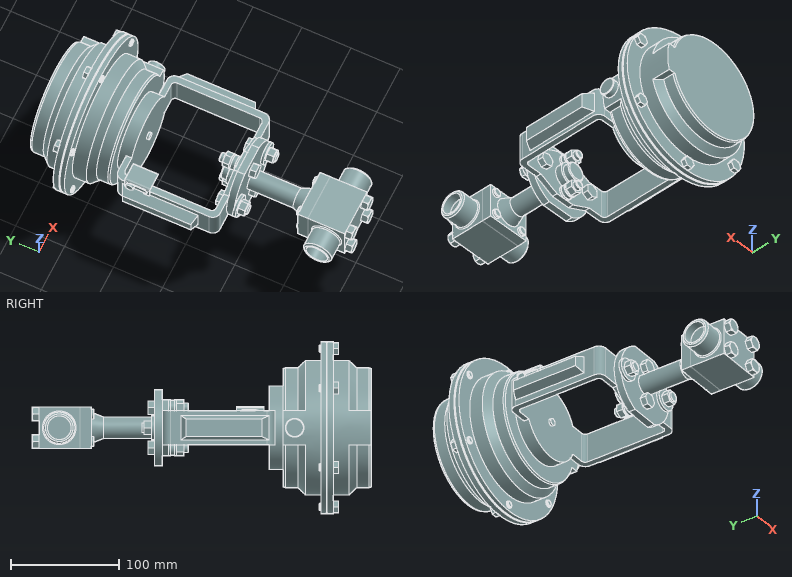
import cadquery as cq
import math


FLANGE_DIA = 158.75
TOTAL_LENGTH = 312.98

HOUSING_LENGTH = 81.4
HOUSING_RADIUS = 62.2
CAP_RADIUS = 55.4
CAP_EDGE_RADIUS = 54.6
CAP_EDGE_LENGTH = 2.0
CAP_LENGTH = 13.5
CONE_END = 20.7
FLANGE_START = 35.0
FLANGE_END = 46.5
GASKET_START = 40.8
GASKET_THICKNESS = 0.8
GASKET_RADIUS = 78.6
PORT_PAD_HALF_WIDTH = 15.9
PORT_RADIUS = 8.6
PORT_END_X = 68.7
PORT_DEPTH = 70.8
PORT_CHAMFER = 0.5

FLANGE_BOLT_COUNT = 6
FLANGE_BOLT_CIRCLE_RADIUS = 73.0
FLANGE_BOLT_FLATS = 11.1
FLANGE_BOLT_HEAD = 4.8
FLANGE_BOLT_DIA = 7.0
FLANGE_BOLT_TIP = 1.9

HUB_RADIUS = 38.6
HUB_END = 94.4
HUB_NUB_DIA = 7.0
HUB_NUB_LENGTH = 2.2

YOKE_START = 88.7
YOKE_END = 192.7
YOKE_HALF_WIDTH = 59.8
YOKE_SIDE_THICKNESS = 6.6
YOKE_PLATE_THICKNESS = HUB_END - YOKE_START
YOKE_HALF_HEIGHT = 15.7
YOKE_OUTER_BEND = 7.6
YOKE_INNER_BEND = 4.0
YOKE_FLOOR = YOKE_END - YOKE_PLATE_THICKNESS
GUSSET_HALF_HEIGHT = 26.0
GUSSET_TIP_HALF_WIDTH = 10.8
GUSSET_BASE_HALF_WIDTH = 32.8

RIB_HEIGHT = 9.9
RIB_TIP_START = 101.1
RIB_TIP_END = 171.0
LEFT_RIB_BASE = (96.5, 173.7)
LEFT_RIB_HALF_HEIGHTS = (9.0, 5.2)
RIGHT_RIB_BASE = (94.4, 175.6)
RIGHT_RIB_HALF_HEIGHTS = (11.2, 8.1)

BRACKET_START = 99.0
BRACKET_END = 124.6
BRACKET_THICKNESS = 1.0
BRACKET_TOP = 19.6
BRACKET_BOTTOM = 8.6
BRACKET_INNER_X = -41.7
BRACKET_BEND = 1.9
SLOT_RADIUS = 4.0
SLOT_HEIGHT = 12.6
SLOT_START = 104.7
SLOT_END = 118.0
SCREW_HEAD = 1.9

MOUNT_END = 200.2
MOUNT_RADIUS = 38.4
MOUNT_FLAT = 35.2

SIDE_BOLT_X = 30.2
CROSS_BOLT_Z = 18.5
BOLT_FLATS = 12.7
BOLT_HEAD = 6.4
TURNED_HEX = 15.0
CROSS_BOLT_HEAD = 6.0
BOLT_DIA = 9.0
NUT_HEIGHT = 6.8
TIP_LENGTH = 1.7
WASHER_DIA = 22.2
WASHER_THICKNESS = 2.8
CROSS_WASHER_DIA = 14.7
CROSS_WASHER_THICKNESS = 1.7
LOCK_WASHER_DIA = 14.0
LOCK_WASHER_THICKNESS = 3.9
CROSS_TIP_LENGTH = 4.4

NECK_RADIUS = 10.0
NECK_START = 172.8
NECK_CHAMFER = 1.0
LOCK_NUT_DIA = 25.6
LOCK_NUT_HEIGHT = 7.2
NECK_END = 247.0
NECK_BASE_RADIUS = 14.6

BODY_START = 258.4
COVER_END = 268.8
BODY_END = 306.5
BODY_HALF_WIDTH = 24.1
BODY_HALF_HEIGHT = 19.3
BODY_BOLT_X = 17.1
BODY_BOLT_Z = 12.7
BODY_BOLT_STUD_DIA = 9.0
BODY_BOLT_STUD_LENGTH = 2.7

PIPE_DEPTH = 287.9
PIPE_RADIUS = 14.4
PIPE_END_X = 45.0
PIPE_CHAMFER = 1.7
PIPE_BORE_RADIUS = 10.9
PIPE_BORE_DEPTH = 10.0
PIPE_ROOT_SIZE = 1.1

BOLT_END_CHAMFER = 0.8


def plane_at(depth):
    """Workplane across the main axis: local x is X, local y is Z, extrusion goes deeper (-Y)."""
    return cq.Workplane("XZ", origin=(0, -depth, 0))


def disc(depth, length, radius, x=0.0, z=0.0):
    return plane_at(depth).center(x, z).circle(radius).extrude(length)


def turned(outline):
    """Solid of revolution about the main axis from (radius, depth) points."""
    points = [(radius, -depth) for radius, depth in outline]
    return cq.Workplane("XY").polyline(points).close().revolve(360, (0, 0, 0), (0, 1, 0))


def across_corners(flats):
    return flats / math.cos(math.pi / 6)


def hexagon(depth, length, flats, x=0.0, z=0.0, turn=0.0):
    """Hexagonal prism with corners along X, or along Z when turned by 90 degrees."""
    corners = across_corners(flats)
    prism = plane_at(depth).polygon(6, corners).extrude(length)
    return prism.rotate((0, 0, 0), (0, 1, 0), turn).translate((x, 0, z))


def stud_tip(depth, length, diameter, x=0.0, z=0.0):
    """Bolt end with a chamfered edge, pointing toward the valve body."""
    tip = disc(depth, length, diameter / 2, x, z)
    return tip.faces("<Y").chamfer(BOLT_END_CHAMFER)


def block(half_width, half_height, start, end):
    return plane_at(start).rect(2 * half_width, 2 * half_height).extrude(end - start)


def housing():
    end = HOUSING_LENGTH
    flange_radius = FLANGE_DIA / 2
    gasket_end = GASKET_START + GASKET_THICKNESS
    outline = [
        (0, 0),
        (CAP_EDGE_RADIUS, 0),
        (CAP_RADIUS, CAP_EDGE_LENGTH),
        (CAP_RADIUS, CAP_LENGTH),
        (HOUSING_RADIUS, CONE_END),
        (HOUSING_RADIUS, FLANGE_START),
        (flange_radius, FLANGE_START),
        (flange_radius, GASKET_START),
        (GASKET_RADIUS, GASKET_START),
        (GASKET_RADIUS, gasket_end),
        (flange_radius, gasket_end),
        (flange_radius, FLANGE_END),
        (HOUSING_RADIUS, FLANGE_END),
        (HOUSING_RADIUS, end - CONE_END),
        (CAP_RADIUS, end - CAP_LENGTH),
        (CAP_RADIUS, end - CAP_EDGE_LENGTH),
        (CAP_EDGE_RADIUS, end),
        (0, end),
    ]
    return turned(outline)


def port_pads():
    """Full-radius pads on the +X side of both caps, and the air fitting on the front one."""
    pads = cq.Workplane("XZ")
    for depth in (0, HOUSING_LENGTH - CONE_END):
        strip = (
            plane_at(depth)
            .center(HOUSING_RADIUS / 2, 0)
            .rect(HOUSING_RADIUS, 2 * PORT_PAD_HALF_WIDTH)
            .extrude(CONE_END)
        )
        pads = pads.union(strip.intersect(disc(depth, CONE_END, HOUSING_RADIUS)))
    fitting = (
        cq.Workplane("YZ")
        .center(-PORT_DEPTH, 0)
        .circle(PORT_RADIUS)
        .extrude(PORT_END_X)
        .faces(">X")
        .chamfer(PORT_CHAMFER)
    )
    return pads.union(fitting)


def flange_bolts():
    bolts = cq.Workplane("XZ")
    for index in range(FLANGE_BOLT_COUNT):
        angle = math.radians(90 + index * 360 / FLANGE_BOLT_COUNT)
        x = FLANGE_BOLT_CIRCLE_RADIUS * math.cos(angle)
        z = FLANGE_BOLT_CIRCLE_RADIUS * math.sin(angle)
        head_start = FLANGE_START - FLANGE_BOLT_HEAD
        bolts = bolts.union(hexagon(head_start, FLANGE_BOLT_HEAD, FLANGE_BOLT_FLATS, x, z))
        bolts = bolts.union(stud_tip(FLANGE_END, FLANGE_BOLT_TIP, FLANGE_BOLT_DIA, x, z))
    return bolts


def hub():
    body = disc(HOUSING_LENGTH, HUB_END - HOUSING_LENGTH, HUB_RADIUS)
    return body.union(disc(HUB_END, HUB_NUB_LENGTH, HUB_NUB_DIA / 2))


def rounded_frame_block(half_width, start, end, bend):
    length = end - start
    return (
        cq.Workplane("XY", origin=(0, -(start + end) / 2, 0))
        .rect(2 * half_width, length)
        .extrude(YOKE_HALF_HEIGHT, both=True)
        .edges("|Z")
        .fillet(bend)
    )


def yoke():
    inner_half_width = YOKE_HALF_WIDTH - YOKE_SIDE_THICKNESS
    outer = rounded_frame_block(YOKE_HALF_WIDTH, YOKE_START, YOKE_END, YOKE_OUTER_BEND)
    window = rounded_frame_block(inner_half_width, HUB_END, YOKE_FLOOR, YOKE_INNER_BEND)
    gusset_points = [
        (GUSSET_BASE_HALF_WIDTH, YOKE_HALF_HEIGHT),
        (GUSSET_TIP_HALF_WIDTH, GUSSET_HALF_HEIGHT),
        (-GUSSET_TIP_HALF_WIDTH, GUSSET_HALF_HEIGHT),
        (-GUSSET_BASE_HALF_WIDTH, YOKE_HALF_HEIGHT),
        (-GUSSET_BASE_HALF_WIDTH, -YOKE_HALF_HEIGHT),
        (-GUSSET_TIP_HALF_WIDTH, -GUSSET_HALF_HEIGHT),
        (GUSSET_TIP_HALF_WIDTH, -GUSSET_HALF_HEIGHT),
        (GUSSET_BASE_HALF_WIDTH, -YOKE_HALF_HEIGHT),
    ]
    gusset = plane_at(YOKE_FLOOR).polyline(gusset_points).close().extrude(YOKE_PLATE_THICKNESS)
    return outer.cut(window).union(gusset)


def rib(side, base, half_heights):
    """Tapered rib on the yoke leg at side = +1 (+X) or -1 (-X)."""
    base_start, base_end = base
    base_half_height, tip_half_height = half_heights
    base_center = -(base_start + base_end) / 2
    tip_center = -(RIB_TIP_START + RIB_TIP_END) / 2
    return (
        cq.Workplane("YZ", origin=(side * YOKE_HALF_WIDTH, 0, 0))
        .center(base_center, 0)
        .rect(base_end - base_start, 2 * base_half_height)
        .workplane(offset=side * RIB_HEIGHT)
        .center(tip_center - base_center, 0)
        .rect(RIB_TIP_END - RIB_TIP_START, 2 * tip_half_height)
        .loft(combine=True)
    )


def indicator():
    outer_x = -YOKE_HALF_WIDTH - BRACKET_THICKNESS
    length = BRACKET_END - BRACKET_START
    profile = [
        (outer_x, BRACKET_BOTTOM),
        (outer_x, BRACKET_TOP),
        (BRACKET_INNER_X, BRACKET_TOP),
        (BRACKET_INNER_X, BRACKET_TOP - BRACKET_THICKNESS),
        (-YOKE_HALF_WIDTH, BRACKET_TOP - BRACKET_THICKNESS),
        (-YOKE_HALF_WIDTH, BRACKET_BOTTOM),
    ]
    sheet = plane_at(BRACKET_START).polyline(profile).close().extrude(length)
    sheet = sheet.edges("<X and >Z").fillet(BRACKET_BEND)
    middle_y = -(BRACKET_START + BRACKET_END) / 2
    inner_corner = (-YOKE_HALF_WIDTH, middle_y, BRACKET_TOP - BRACKET_THICKNESS)
    sheet = sheet.edges(cq.selectors.NearestToPointSelector(inner_corner))
    sheet = sheet.fillet(BRACKET_BEND - BRACKET_THICKNESS)
    slot_plane = cq.Workplane("YZ", origin=(-YOKE_HALF_WIDTH, 0, 0))
    slot = (
        slot_plane.center(-(SLOT_START + SLOT_END) / 2, SLOT_HEIGHT)
        .slot2D(SLOT_END - SLOT_START + 2 * SLOT_RADIUS, 2 * SLOT_RADIUS)
        .extrude(-BRACKET_THICKNESS)
    )
    screw = (
        slot_plane.center(-SLOT_START, SLOT_HEIGHT)
        .circle(SLOT_RADIUS)
        .extrude(-BRACKET_THICKNESS - SCREW_HEAD)
    )
    return sheet.cut(slot).union(screw)


def mount():
    thickness = MOUNT_END - YOKE_END
    flats = block(MOUNT_RADIUS, MOUNT_FLAT, YOKE_END, MOUNT_END)
    return disc(YOKE_END, thickness, MOUNT_RADIUS).intersect(flats)


def side_bolt(x, head_turn, nut_turn):
    """Bolt through one ear of the mount, with its nut and washer on the valve side."""
    nut_start = MOUNT_END + WASHER_THICKNESS
    head = hexagon(YOKE_FLOOR - BOLT_HEAD, BOLT_HEAD, BOLT_FLATS, x, turn=head_turn)
    washer = disc(MOUNT_END, WASHER_THICKNESS, WASHER_DIA / 2, x)
    nut = hexagon(nut_start, NUT_HEIGHT, BOLT_FLATS, x, turn=nut_turn)
    tip = disc(nut_start + NUT_HEIGHT, TIP_LENGTH, BOLT_DIA / 2, x)
    return head.union(washer).union(nut).union(tip)


def cross_bolt(z):
    """Bolt above or below the neck, with its nut and a stack of three washers inside the yoke."""
    outer_washer_start = YOKE_FLOOR - CROSS_WASHER_THICKNESS
    lock_washer_start = outer_washer_start - LOCK_WASHER_THICKNESS
    inner_washer_start = lock_washer_start - CROSS_WASHER_THICKNESS
    nut_start = inner_washer_start - NUT_HEIGHT
    tip = disc(nut_start - CROSS_TIP_LENGTH, CROSS_TIP_LENGTH, BOLT_DIA / 2, z=z)
    bolt = tip.faces(">Y").chamfer(BOLT_END_CHAMFER)
    bolt = bolt.union(hexagon(nut_start, NUT_HEIGHT, BOLT_FLATS, z=z, turn=90))
    for start in (inner_washer_start, outer_washer_start):
        bolt = bolt.union(disc(start, CROSS_WASHER_THICKNESS, CROSS_WASHER_DIA / 2, z=z))
    bolt = bolt.union(disc(lock_washer_start, LOCK_WASHER_THICKNESS, LOCK_WASHER_DIA / 2, z=z))
    return bolt.union(hexagon(MOUNT_END, CROSS_BOLT_HEAD, BOLT_FLATS, z=z))


def lock_nut():
    return disc(YOKE_FLOOR - LOCK_NUT_HEIGHT, LOCK_NUT_HEIGHT, LOCK_NUT_DIA / 2)


def neck():
    outline = [
        (0, NECK_START),
        (NECK_RADIUS - NECK_CHAMFER, NECK_START),
        (NECK_RADIUS, NECK_START + NECK_CHAMFER),
        (NECK_RADIUS, NECK_END),
        (NECK_BASE_RADIUS, BODY_START),
        (0, BODY_START),
    ]
    return turned(outline)


def body_bolt_head(x, z):
    """Hexagon head whose corners are rounded off by a cone, leaving a circular end face."""
    height = TOTAL_LENGTH - BODY_END
    corner_radius = across_corners(BOLT_FLATS) / 2
    corner_drop = corner_radius - BOLT_FLATS / 2
    blank = disc(BODY_END, height, corner_radius, x, z).faces("<Y").chamfer(corner_drop)
    return hexagon(BODY_END, height, BOLT_FLATS, x, z).intersect(blank)


def valve_body():
    cover = block(BODY_HALF_WIDTH, BODY_HALF_HEIGHT, BODY_START, COVER_END)
    body = cover.union(block(BODY_HALF_WIDTH, BODY_HALF_HEIGHT, COVER_END, BODY_END), clean=False)
    stud_start = BODY_START - BODY_BOLT_STUD_LENGTH
    for x in (-BODY_BOLT_X, BODY_BOLT_X):
        for z in (-BODY_BOLT_Z, BODY_BOLT_Z):
            stud = disc(stud_start, BODY_BOLT_STUD_LENGTH, BODY_BOLT_STUD_DIA / 2, x, z)
            body = body.union(body_bolt_head(x, z), clean=False)
            body = body.union(stud.faces(">Y").chamfer(BOLT_END_CHAMFER), clean=False)
    return body


def pipes():
    """Pipe along X with chamfered ends, and a small cone where it meets each body face."""
    outline = [
        (-PIPE_END_X, 0),
        (-PIPE_END_X, PIPE_RADIUS - PIPE_CHAMFER),
        (-PIPE_END_X + PIPE_CHAMFER, PIPE_RADIUS),
        (-BODY_HALF_WIDTH - PIPE_ROOT_SIZE, PIPE_RADIUS),
        (-BODY_HALF_WIDTH, PIPE_RADIUS + PIPE_ROOT_SIZE),
    ]
    mirrored = [(-x, radius) for x, radius in reversed(outline)]
    return (
        cq.Workplane("XY", origin=(0, -PIPE_DEPTH, 0))
        .polyline(outline + mirrored)
        .close()
        .revolve(360, (0, 0, 0), (1, 0, 0))
    )


def pipe_bore(side):
    """Blind bore in the pipe end at side = +1 (+X) or -1 (-X)."""
    end_plane = cq.Workplane("YZ", origin=(side * PIPE_END_X, -PIPE_DEPTH, 0))
    return end_plane.circle(PIPE_BORE_RADIUS).extrude(-side * PIPE_BORE_DEPTH)


actuator = housing().union(port_pads()).union(flange_bolts()).union(hub())
frame = (
    yoke()
    .union(rib(-1, LEFT_RIB_BASE, LEFT_RIB_HALF_HEIGHTS))
    .union(rib(1, RIGHT_RIB_BASE, RIGHT_RIB_HALF_HEIGHTS))
    .union(indicator())
)
linkage = mount().union(lock_nut()).union(neck())
linkage = linkage.union(side_bolt(-SIDE_BOLT_X, head_turn=90, nut_turn=-TURNED_HEX))
linkage = linkage.union(side_bolt(SIDE_BOLT_X, head_turn=TURNED_HEX, nut_turn=0))
for bolt_z in (-CROSS_BOLT_Z, CROSS_BOLT_Z):
    linkage = linkage.union(cross_bolt(bolt_z))
valve = valve_body().union(pipes(), clean=False)
for end_side in (-1, 1):
    valve = valve.cut(pipe_bore(end_side), clean=False)
result = actuator.union(frame).union(linkage).union(valve, clean=False).solids()